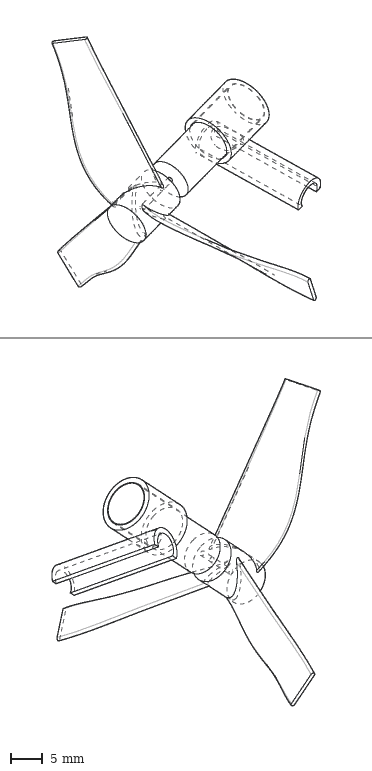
import cadquery as cq
import math


hub_diameter = 7.5
hub_length = 9.0
blade_count = 3
blade_tip_radius = 31.5
blade_thickness = 0.7

motor_diameter = 7.0
motor_length = 20.0
shaft_diameter = 0.8
shaft_gap = 2.5
shaft_insertion = 5.0

sleeve_outer_diameter = 9.0
sleeve_bore_diameter = 7.2
sleeve_length = 10.0
clip_outer_diameter = 6.0
clip_inner_diameter = 4.15
clip_length = 20.0
clip_end_x = 16.0
clip_axis_drop = 6.65
clip_mouth_drop = 1.0

motor_front_y = hub_length + shaft_gap
motor_back_y = motor_front_y + motor_length
sleeve_front_y = motor_back_y - sleeve_length

blade_stations = [
    (1.45, (2.15, 3.1), (7.15, -2.9)),
    (5.8, (1.1, 3.75), (7.15, -2.9)),
    (11.0, (1.05, 4.2), (7.1, -2.9)),
    (17.65, (2.25, 3.7), (7.0, -2.95)),
    (24.3, (4.15, 3.0), (6.9, -3.0)),
    (blade_tip_radius, (5.5, 2.9), (7.05, -2.9)),
]


def y_cylinder(diameter, start_y, length):
    """Solid cylinder along +Y from start_y."""
    return cq.Workplane("XZ", origin=(0, start_y, 0)).circle(diameter / 2).extrude(-length)


def blade_section(radius, leading, trailing):
    """Straight blade section with full-round edges, in the plane x = radius."""
    half = blade_thickness / 2
    chord_y = leading[0] - trailing[0]
    chord_z = leading[1] - trailing[1]
    chord = math.hypot(chord_y, chord_z)
    along = cq.Vector(0, chord_y / chord, chord_z / chord) * half
    across = cq.Vector(0, -chord_z / chord, chord_y / chord) * half
    lead = cq.Vector(radius, *leading)
    trail = cq.Vector(radius, *trailing)
    return cq.Wire.assembleEdges([
        cq.Edge.makeLine(trail + across, lead + across),
        cq.Edge.makeThreePointArc(lead + across, lead + along, lead - across),
        cq.Edge.makeLine(lead - across, trail - across),
        cq.Edge.makeThreePointArc(trail - across, trail - along, trail + across),
    ])


def make_blade():
    """Twisted blade pointing along +X, lofted through its stations."""
    sections = [blade_section(*station) for station in blade_stations]
    return cq.Workplane(cq.Solid.makeLoft(sections))


def make_propeller():
    """Hub with equally spaced blades and a blind hole for the shaft."""
    propeller = y_cylinder(hub_diameter, 0, hub_length)
    blade = make_blade()
    for index in range(blade_count):
        angle = index * 360 / blade_count
        propeller = propeller.union(blade.rotate((0, 0, 0), (0, 1, 0), angle))
    shaft_hole = y_cylinder(shaft_diameter, hub_length - shaft_insertion, shaft_insertion)
    return propeller.cut(shaft_hole)


def make_motor():
    """Motor can with its thin output shaft."""
    can = y_cylinder(motor_diameter, motor_front_y, motor_length)
    shaft = y_cylinder(shaft_diameter, hub_length - shaft_insertion, shaft_insertion + shaft_gap)
    return can.union(shaft)


def make_clip():
    """Open C-shaped clip along X, with its mouth facing down."""
    clip_y = sleeve_front_y + sleeve_length / 2
    clip_start_x = clip_end_x - clip_length
    ring = (
        cq.Workplane("YZ", origin=(clip_start_x, clip_y, -clip_axis_drop))
        .circle(clip_outer_diameter / 2)
        .circle(clip_inner_diameter / 2)
        .extrude(clip_length)
    )
    mouth = cq.Workplane().box(
        clip_length, clip_outer_diameter, clip_outer_diameter, centered=(False, True, False)
    ).translate((clip_start_x, clip_y, -clip_axis_drop - clip_mouth_drop - clip_outer_diameter))
    return ring.cut(mouth)


def make_holder():
    """Sleeve around the motor with the clip joined beneath it."""
    sleeve = y_cylinder(sleeve_outer_diameter, sleeve_front_y, sleeve_length)
    bore = y_cylinder(sleeve_bore_diameter, sleeve_front_y, sleeve_length)
    return sleeve.union(make_clip()).cut(bore)


propeller = make_propeller()
motor = make_motor()
holder = make_holder()

result = cq.Compound.makeCompound([
    propeller.solids().val(),
    motor.solids().val(),
    holder.solids().val(),
])